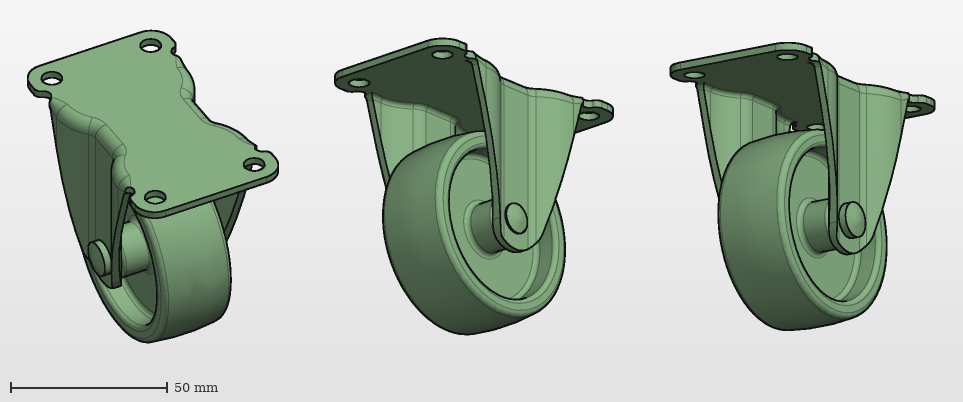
import cadquery as cq
import math


plate_length = 85.0
plate_width = 51.0
sheet = 2.5
corner_radius = 7.1
hole_diameter = 6.6
hole_spacing_x = 69.9
hole_spacing_y = 35.9
notch_x = 28.05
notch_y = 24.6
notch_radius = 2.5

rib_half_width = 5.8
rib_y = 17.9
wing_x = 20.8
wing_y = 23.9
hollow_radius = 3.8
bend_inner_radius = 1.5
bend_outer_radius = bend_inner_radius + sheet
bend_mid_radius = 2.55
bend_end_radius = 0.2
axle_z = -48.45
tip_radius = 10.5
side_angle = 17.0
side_blend_radius = 2.0

wheel_radius = 31.5
wheel_width = 25.2
crown_drop = 1.0
tread_round = 1.95
rim_inner_radius = 25.0
rim_round = 1.5
web_thickness = 8.5
hub_radius = 8.2
hub_length = 30.1
hub_round = 1.0
hub_root_round = 1.6

shaft_radius = 4.1
front_head_radius = 5.7
front_head_height = 2.55
front_cone_height = 1.6
rear_head_radius = 5.0
rear_head_height = 0.5
rear_cone_height = 1.45

leg_depth = tip_radius - axle_z
quarter_arc_middle = math.sqrt(0.5)
match_tolerance = 0.01


def four_way(quarter):
    """Mirror a solid in the +X +Y quarter to all four quarters."""
    half = quarter.union(quarter.mirror("YZ"))
    return half.union(half.mirror("XZ"))


def leg_block(inset, end_x, top_z):
    """Waisted block inside the leg faces moved inwards by `inset`, as long as `end_x` each way."""
    run = wing_x - rib_half_width
    rise = wing_y - rib_y
    turn = 2 * math.atan(rise / run)
    bulge_radius = run / math.sin(turn) - hollow_radius
    hollow = hollow_radius + inset
    bulge = bulge_radius - inset
    middle_y = rib_y - inset
    end_y = wing_y - inset

    def hollow_point(angle):
        return rib_half_width + hollow * math.sin(angle), middle_y + hollow * (1 - math.cos(angle))

    def bulge_point(angle):
        return wing_x - bulge * math.sin(angle), end_y - bulge * (1 - math.cos(angle))

    quarter = (
        cq.Workplane("XY")
        .moveTo(0, 0)
        .lineTo(0, middle_y)
        .lineTo(rib_half_width, middle_y)
        .threePointArc(hollow_point(turn / 2), hollow_point(turn))
        .threePointArc(bulge_point(turn / 2), (wing_x, end_y))
    )
    if end_x > wing_x:
        quarter = quarter.lineTo(end_x, end_y)
    quarter = quarter.lineTo(end_x, 0).close().extrude(-leg_depth)
    return four_way(quarter.translate((0, 0, top_z)))


def round_top(block, top_round):
    """Round the long top edges of a leg block."""
    return block.faces(">Z").edges("not(<X or >X)").fillet(top_round)


def wing_bend_waste():
    """Waste outside the bend of the +X +Y wing; its radius shrinks from the full bend to the notch."""

    def section(x, bend_radius):
        mid = bend_radius * (1 - quarter_arc_middle)
        return (
            cq.Workplane("YZ", origin=(x, 0, 0))
            .moveTo(wing_y - bend_radius, 0)
            .threePointArc((wing_y - mid, -mid), (wing_y, -bend_radius))
            .lineTo(wing_y + sheet, -bend_radius)
            .lineTo(wing_y + sheet, sheet)
            .lineTo(wing_y - bend_radius, sheet)
            .close()
            .val()
        )

    sections = [
        section(wing_x, bend_outer_radius),
        section((wing_x + notch_x) / 2, bend_mid_radius),
        section(notch_x, bend_end_radius),
    ]
    return cq.Workplane(cq.Solid.makeLoft(sections))


def side_trim():
    """Tapered leg outline with a round tip, widening to the plate, as wide as the bracket in Y."""
    angle = math.radians(side_angle)
    tangent_x = tip_radius * math.cos(angle)
    tangent_z = axle_z - tip_radius * math.sin(angle)
    shoulder_x = tangent_x + (-sheet - tangent_z) * math.tan(angle)
    trim = (
        cq.Workplane("XZ")
        .moveTo(-tangent_x, tangent_z)
        .threePointArc((0, -leg_depth), (tangent_x, tangent_z))
        .lineTo(shoulder_x, -sheet)
        .lineTo(notch_x, -sheet)
        .lineTo(notch_x, 0)
        .lineTo(-notch_x, 0)
        .lineTo(-notch_x, -sheet)
        .lineTo(-shoulder_x, -sheet)
        .close()
        .extrude(plate_width / 2, both=True)
    )
    shoulder_reach = shoulder_x + match_tolerance
    shoulders = trim.edges(
        cq.selectors.BoxSelector(
            (-shoulder_reach, -match_tolerance, -sheet - match_tolerance),
            (shoulder_reach, match_tolerance, -sheet + match_tolerance),
        )
    )
    return shoulders.fillet(side_blend_radius)


def plate_ears():
    """Plate beyond the notches: rounded corners, and a round from each long side into its notch."""
    half_length = plate_length / 2
    half_width = plate_width / 2
    round_y = half_width - notch_radius
    round_x = notch_x + math.sqrt((2 * notch_radius) ** 2 - (notch_y - round_y) ** 2)
    join = ((notch_x + round_x) / 2, (notch_y + round_y) / 2)
    round_angle = (math.atan2(notch_y - round_y, notch_x - round_x) + math.pi / 2) / 2
    round_mid = (
        round_x + notch_radius * math.cos(round_angle),
        round_y + notch_radius * math.sin(round_angle),
    )
    corner_mid = corner_radius * (1 - quarter_arc_middle)
    quarter = (
        cq.Workplane("XY")
        .moveTo(notch_x, 0)
        .lineTo(notch_x, notch_y)
        .lineTo(*join)
        .threePointArc(round_mid, (round_x, half_width))
        .lineTo(half_length - corner_radius, half_width)
        .threePointArc(
            (half_length - corner_mid, half_width - corner_mid), (half_length, half_width - corner_radius)
        )
        .lineTo(half_length, 0)
        .close()
        .extrude(-sheet)
    )
    return four_way(quarter)


def make_bracket():
    """Sheet bracket: plate and two legs, with the outside of the bend between them cut last."""
    outside = leg_block(0, notch_x, 0)
    inside = round_top(leg_block(sheet, plate_length / 2, -sheet), bend_inner_radius)
    shell = outside.cut(inside).intersect(side_trim())
    notches = (
        cq.Workplane("XY")
        .rect(2 * notch_x, 2 * notch_y, forConstruction=True)
        .vertices()
        .circle(notch_radius)
        .extrude(-bend_outer_radius)
    )
    bolt_holes = (
        cq.Workplane("XY")
        .rect(hole_spacing_x, hole_spacing_y, forConstruction=True)
        .vertices()
        .circle(hole_diameter / 2)
        .extrude(-sheet)
    )
    axle_holes = (
        cq.Workplane("XZ", origin=(0, 0, axle_z)).circle(shaft_radius).extrude(rib_y, both=True)
    )
    bracket = shell.union(plate_ears()).cut(notches).cut(bolt_holes).cut(axle_holes)

    waist = leg_block(0, wing_x, 0)
    bracket = bracket.cut(waist.cut(round_top(waist, bend_outer_radius)), clean=False)
    wing_waste = wing_bend_waste()
    for waste in (wing_waste, wing_waste.mirror("YZ")):
        bracket = bracket.cut(waste, clean=False).cut(waste.mirror("XZ"), clean=False)
    return bracket


def ring_edges(solid, radius, distance):
    """The two circular edges of the given radius, at Y = -distance and Y = +distance."""
    circles = solid.edges("%CIRCLE").vals()
    return solid.newObject(
        [
            edge
            for edge in circles
            if math.isclose(edge.radius(), radius, abs_tol=match_tolerance)
            and math.isclose(abs(edge.Center().y), distance, abs_tol=match_tolerance)
        ]
    )


def make_wheel():
    """Crowned wheel with a recessed web on each side and a long hub."""
    half_web = web_thickness / 2
    half_width = wheel_width / 2
    half_hub = hub_length / 2
    tread_edge_radius = wheel_radius - crown_drop
    wheel = (
        cq.Workplane("XY")
        .moveTo(shaft_radius, -half_hub)
        .lineTo(hub_radius, -half_hub)
        .lineTo(hub_radius, -half_web)
        .lineTo(rim_inner_radius, -half_web)
        .lineTo(rim_inner_radius, -half_width)
        .lineTo(tread_edge_radius, -half_width)
        .threePointArc((wheel_radius, 0), (tread_edge_radius, half_width))
        .lineTo(rim_inner_radius, half_width)
        .lineTo(rim_inner_radius, half_web)
        .lineTo(hub_radius, half_web)
        .lineTo(hub_radius, half_hub)
        .lineTo(shaft_radius, half_hub)
        .close()
        .revolve(360, (0, 0, 0), (0, 1, 0))
    )
    wheel = ring_edges(wheel, tread_edge_radius, half_width).fillet(tread_round)
    wheel = ring_edges(wheel, rim_inner_radius, half_width).fillet(rim_round)
    wheel = ring_edges(wheel, rim_inner_radius, half_web).fillet(rim_round)
    wheel = ring_edges(wheel, hub_radius, half_web).fillet(hub_root_round)
    wheel = ring_edges(wheel, hub_radius, half_hub).fillet(hub_round)
    return wheel.translate((0, 0, axle_z))


def make_axle():
    """Axle with a coned head outside each leg, the taller one at -Y."""
    front_y = -rib_y - front_head_height
    rear_y = rib_y + rear_head_height
    return (
        cq.Workplane("XY")
        .moveTo(0, front_y - front_cone_height)
        .lineTo(front_head_radius, front_y)
        .lineTo(front_head_radius, -rib_y)
        .lineTo(shaft_radius, -rib_y)
        .lineTo(shaft_radius, rib_y)
        .lineTo(rear_head_radius, rib_y)
        .lineTo(rear_head_radius, rear_y)
        .lineTo(0, rear_y + rear_cone_height)
        .close()
        .revolve(360, (0, 0, 0), (0, 1, 0))
        .translate((0, 0, axle_z))
    )


bracket = make_bracket()
wheel = make_wheel()
axle = make_axle()
result = cq.Compound.makeCompound([*bracket.solids().vals(), *wheel.solids().vals(), axle.val()])